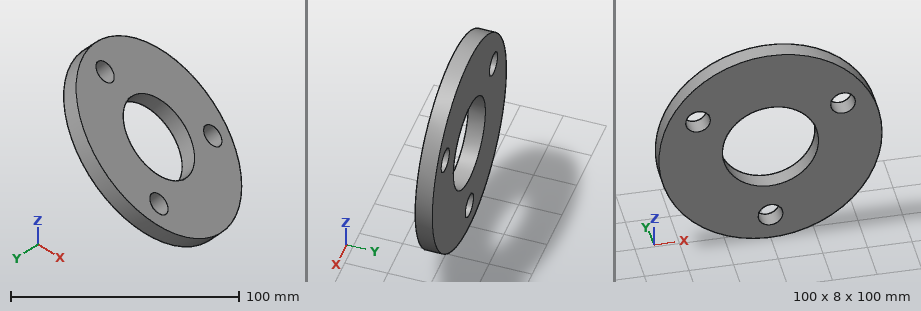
import cadquery as cq

outer_diameter = 100.0
thickness = 8.0
bore_diameter = 43.0

hole_count = 3
hole_diameter = 11.0
hole_circle_diameter = 75.0
first_hole_angle = -90.0

ring = (
    cq.Workplane("XZ")
    .circle(outer_diameter / 2)
    .circle(bore_diameter / 2)
    .extrude(thickness)
)

result = (
    ring.faces("<Y")
    .workplane(origin=(0, 0, 0))
    .polarArray(hole_circle_diameter / 2, first_hole_angle, 360, hole_count)
    .hole(hole_diameter)
)